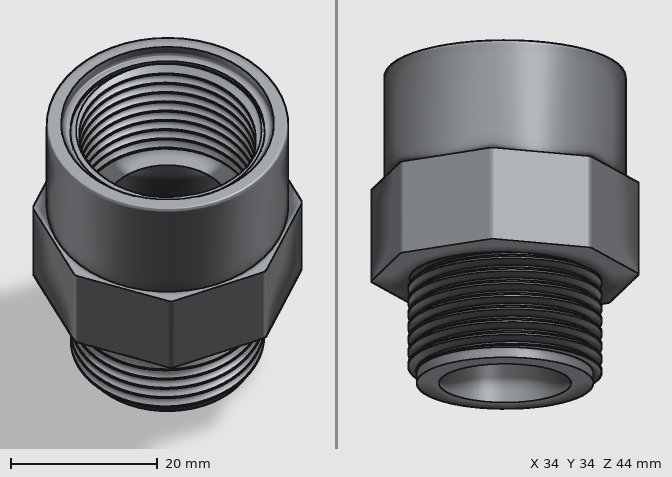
import cadquery as cq
import math


male_height = 15.0
hex_height = 13.0
socket_height = 16.0
wrench_top = male_height + hex_height
total_height = wrench_top + socket_height

across_flats = 34.0
octagon_sides = 8
octagon_edge_radius = 1.0

socket_diameter = 33.0
socket_rim_radius = 0.5
through_bore_diameter = 18.0
counterbore_diameter = 29.0
counterbore_depth = 1.5
counterbore_floor_radius = 0.5

minor_diameter = 24.12
major_diameter = 26.44
pitch = 25.4 / 14
thread_angle = 55.0
crest_width = 0.3
base_overlap = 0.1
spare_turns = 2
minor_radius = minor_diameter / 2
major_radius = major_diameter / 2

male_thread_start = 1.45
male_thread_phase = 1.28

female_depth = 17.5
female_relief_depth = 2.0
female_relief_diameter = 26.5
female_floor = total_height - female_depth
female_thread_top = total_height - female_relief_depth
female_thread_phase = 27.7


def cylinder(diameter, bottom, top):
    """Upright cylinder on the Z axis between two heights."""
    return cq.Workplane("XY").workplane(offset=bottom).circle(diameter / 2).extrude(top - bottom)


def threaded_rod(phase, bottom, top):
    """Rod with a helical V ridge from the minor to the major radius, cut flat at both heights.

    The middle of the ridge crosses the -X side at the phase height.
    """
    base_radius = minor_radius - base_overlap
    half_crest = crest_width / 2
    half_base = half_crest + (major_radius - base_radius) * math.tan(math.radians(thread_angle / 2))

    first_crest = phase - spare_turns * pitch
    turns = math.ceil((top - first_crest) / pitch) + 1
    profile = [
        (base_radius, -half_base),
        (major_radius, -half_crest),
        (major_radius, half_crest),
        (base_radius, half_base),
    ]
    helix = cq.Wire.makeHelix(pitch, turns * pitch, minor_radius)
    ridge = (
        cq.Workplane("XZ")
        .polyline(profile)
        .close()
        .sweep(cq.Workplane(helix), isFrenet=True)
        .rotate((0, 0, 0), (0, 0, 1), 180)
        .translate((0, 0, first_crest))
    )
    core = cylinder(minor_diameter, first_crest - pitch, first_crest + (turns + 1) * pitch)
    return core.union(ridge, clean=False).intersect(cylinder(2 * major_diameter, bottom, top))


def make_wrench_section():
    """Octagonal prism with rounded vertical edges and flats facing X and Y."""
    across_corners = across_flats / math.cos(math.pi / octagon_sides)
    octagon = (
        cq.Workplane("XY")
        .workplane(offset=male_height)
        .polygon(octagon_sides, across_corners)
        .extrude(hex_height)
        .rotate((0, 0, 0), (0, 0, 1), 180 / octagon_sides)
    )
    return octagon.edges("|Z").fillet(octagon_edge_radius)


def make_socket():
    """Plain sleeve above the wrench section with a rounded outer rim."""
    return cylinder(socket_diameter, wrench_top, total_height).edges(">Z").fillet(socket_rim_radius)


def make_male_end():
    """Threaded spigot below the wrench section, with a plain pilot at its end."""
    pilot = cylinder(minor_diameter, 0, male_thread_start)
    return pilot.union(threaded_rod(male_thread_phase, male_thread_start, male_height))


def make_socket_mouth():
    """Cavity of the plain relief and the counterbore above the female thread."""
    counterbore = cylinder(counterbore_diameter, total_height - counterbore_depth, total_height)
    counterbore = counterbore.edges("<Z").fillet(counterbore_floor_radius)
    return counterbore.union(cylinder(female_relief_diameter, female_thread_top, total_height))


result = (
    make_male_end()
    .union(make_wrench_section())
    .union(make_socket())
    .cut(threaded_rod(female_thread_phase, female_floor, total_height))
    .cut(make_socket_mouth())
    .cut(cylinder(through_bore_diameter, 0, total_height))
    .solids()
)